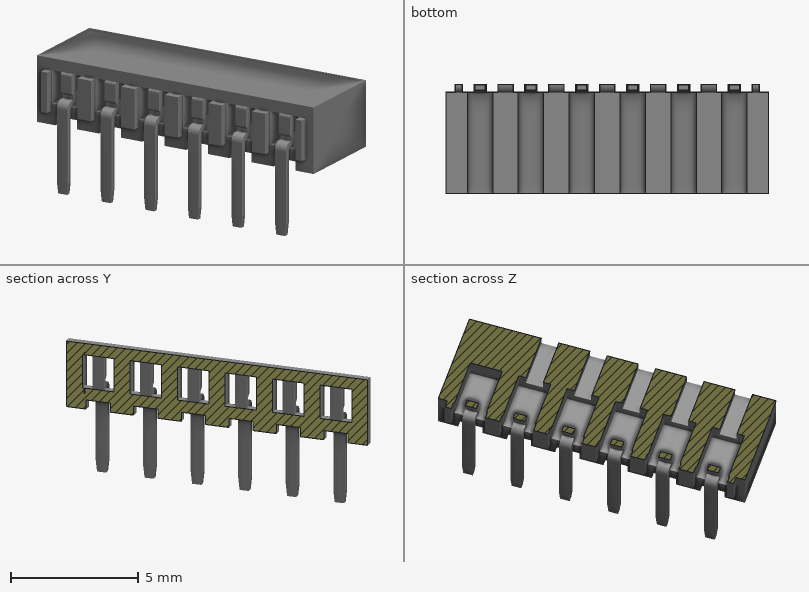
import cadquery as cq


body_length = 12.7
body_depth = 4.0
body_height = 2.75

contact_count = 6
end_contact_inset = 1.35
pitch = (body_length - 2 * end_contact_inset) / (contact_count - 1)
plugged_position = 0

pocket_width = 1.31
pocket_top = -0.5
pocket_height = 1.37
pocket_depth = body_depth / 2
pocket_floor = pocket_top - pocket_height

hole_size = 0.7
hole_center = -1.18

notch_width = 1.0
notch_height = 0.38

rib_projection = 0.3
rib_width = 0.61
end_rib_width = 0.28
end_rib_inset = 0.37
rib_top = -0.52
rib_height = 1.68

strip_width = 0.5
strip_thickness = 0.23
blade_thickness = 0.29
blade_round = 0.14
step_top = -1.33
step_depth = 0.11
leg_top = -1.61
bend_radius = 0.32
bend_inner_radius = bend_radius - strip_thickness
tail_bottom = -5.45
tip_length = 0.5
tip_width = 0.38
tip_chamfer = 0.04

contact_xs = [(i - (contact_count - 1) / 2) * pitch for i in range(contact_count)]


def box(x_center, width, y_front, depth, z_bottom, height):
    """Box centred on x_center, reaching back from y_front and up from z_bottom."""
    corner = (x_center - width / 2, y_front, z_bottom)
    return cq.Workplane("XY").box(width, depth, height, centered=False).translate(corner)


def make_housing():
    housing = box(0, body_length, 0, body_depth, -body_height, body_height)
    for position, x in enumerate(contact_xs):
        housing = housing.cut(box(x, pocket_width, 0, pocket_depth, pocket_floor, pocket_height))
        housing = housing.cut(box(x, notch_width, 0, body_depth, -body_height, notch_height))
        if position != plugged_position:
            hole_bottom = hole_center - hole_size / 2
            housing = housing.cut(box(x, hole_size, 0, body_depth, hole_bottom, hole_size))
    return housing


def add_ribs(housing):
    end_rib_x = body_length / 2 - end_rib_inset - end_rib_width / 2
    ribs = [(-end_rib_x, end_rib_width), (end_rib_x, end_rib_width)]
    ribs += [(x + pitch / 2, rib_width) for x in contact_xs[:-1]]
    for x, width in ribs:
        rib = box(x, width, -rib_projection, rib_projection, rib_top - rib_height, rib_height)
        housing = housing.union(rib)
    return housing


def make_contact():
    """Blade standing in the pocket, with a leg that runs forward and bends down into the tail."""
    leg_bottom = leg_top - strip_thickness
    tail_front = -rib_projection
    tail_back = tail_front + strip_thickness
    bend_start = tail_front + bend_radius
    bend_end = leg_top - bend_radius
    profile = (
        cq.Workplane("YZ")
        .moveTo(blade_thickness, pocket_top)
        .lineTo(blade_round, pocket_top)
        .radiusArc((0, pocket_top - blade_round), -blade_round)
        .lineTo(0, step_top)
        .lineTo(step_depth, step_top - step_depth)
        .lineTo(step_depth, leg_top)
        .lineTo(bend_start, leg_top)
        .radiusArc((tail_front, bend_end), -bend_radius)
        .lineTo(tail_front, tail_bottom + tip_chamfer)
        .lineTo(tail_front + tip_chamfer, tail_bottom)
        .lineTo(tail_back, tail_bottom)
        .lineTo(tail_back, bend_end)
        .radiusArc((bend_start, leg_bottom), bend_inner_radius)
        .lineTo(step_depth, leg_bottom)
        .lineTo(step_depth, pocket_floor)
        .lineTo(blade_thickness, pocket_floor)
        .close()
        .extrude(strip_width / 2, both=True)
    )
    outline = (
        cq.Workplane("XZ")
        .moveTo(-strip_width / 2, pocket_top)
        .lineTo(strip_width / 2, pocket_top)
        .lineTo(strip_width / 2, tail_bottom + tip_length)
        .lineTo(tip_width / 2, tail_bottom)
        .lineTo(-tip_width / 2, tail_bottom)
        .lineTo(-strip_width / 2, tail_bottom + tip_length)
        .close()
        .extrude(body_depth, both=True)
    )
    return profile.intersect(outline)


result = add_ribs(make_housing())
contact = make_contact()
for x in contact_xs:
    result = result.union(contact.translate((x, 0, 0)))